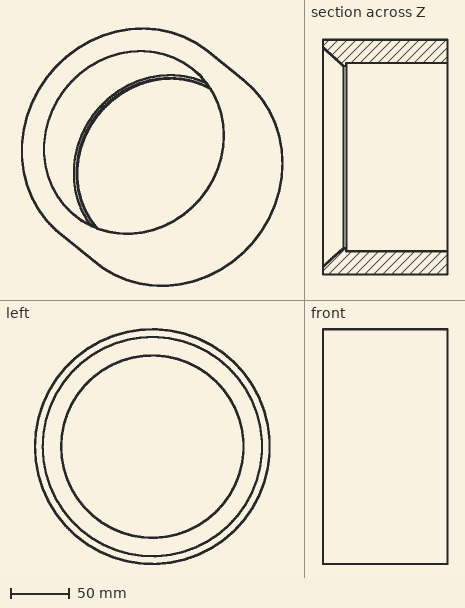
import cadquery as cq

length = 106.0
outer_diameter = 200.0
bore_diameter = 160.0
lip_diameter = 155.0
lip_width = 2.5
mouth_depth = 17.5
outer_edge_fillet = 0.5

wall = (outer_diameter - bore_diameter) / 2
rim_width = wall / 3

outer_radius = outer_diameter / 2
bore_radius = bore_diameter / 2
lip_radius = lip_diameter / 2
mouth_radius = outer_radius - rim_width

x_front = -length / 2
x_back = length / 2
x_lip_front = x_front + mouth_depth
x_lip_back = x_lip_front + lip_width


def sharp_ring():
    """Ring revolved about X from its half section, where Y is the radius."""
    section = (
        cq.Workplane("XY")
        .moveTo(x_front, mouth_radius)
        .lineTo(x_lip_front, lip_radius)
        .lineTo(x_lip_back, lip_radius)
        .lineTo(x_lip_back, bore_radius)
        .lineTo(x_back, bore_radius)
        .lineTo(x_back, outer_radius)
        .lineTo(x_front, outer_radius)
        .close()
    )
    return section.revolve(360, (0, 0, 0), (1, 0, 0))


def round_outer_edges(ring):
    """Round the outer rim at both ends, the circles of largest radius."""
    outer_rims = cq.selectors.RadiusNthSelector(-1)
    return ring.edges(outer_rims).fillet(outer_edge_fillet)


result = round_outer_edges(sharp_ring())